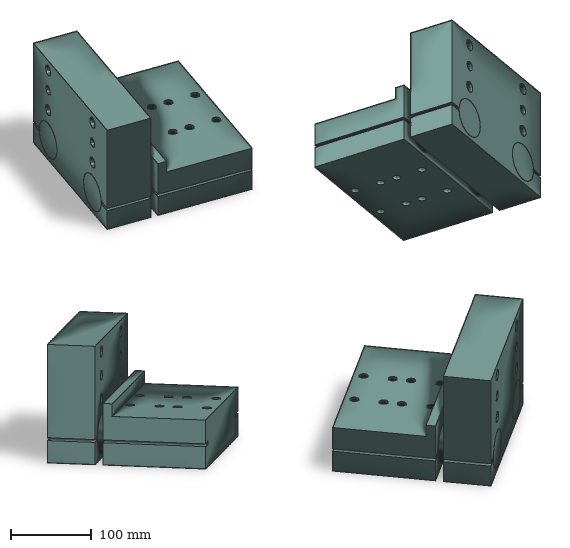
import cadquery as cq

WIDTH = 210.0
TOTAL_DEPTH = 200.0
FRONT_DEPTH = 60.0
FRONT_HEIGHT = 150.0

CARRIAGE_DEPTH = 130.0
CARRIAGE_HEIGHT = 62.0
LIP_DEPTH = 12.0
LIP_TOP = 78.0
CARRIAGE_FRONT = TOTAL_DEPTH - CARRIAGE_DEPTH

COLUMN_DIAMETER = 50.0
COLUMN_SPACING = 126.0
COLUMN_HEIGHT = 30.0
SLIT_HEIGHT = 3.5

FRONT_HOLE_SPACING = COLUMN_SPACING
LARGE_HOLE_DIAMETER = 14.0
SMALL_HOLE_DIAMETER = 12.0
FRONT_HOLES = [
    (15.0, LARGE_HOLE_DIAMETER),
    (45.0, SMALL_HOLE_DIAMETER),
    (75.0, LARGE_HOLE_DIAMETER),
]

CARRIAGE_HOLE_DIAMETER = 11.0
CARRIAGE_HOLE_SPACING = 60.0
CARRIAGE_ROW_SPACING = 37.0
CARRIAGE_GROUP_OFFSETS = (13.0, 73.0)


def block(y_start, depth, height):
    """Full-width block standing on the base plane."""
    return cq.Workplane("XY").box(WIDTH, depth, height, centered=(True, False, False)).translate(
        (0, y_start, 0)
    )


def cylinder_along_y(x, z, diameter, y_start, y_end):
    """Cylinder parallel to Y between two Y positions."""
    return (
        cq.Workplane("XZ", origin=(x, y_start, z))
        .circle(diameter / 2)
        .extrude(-(y_end - y_start))
    )


def columns(y_end):
    """Pair of guide columns starting at the front face."""
    left = cylinder_along_y(-COLUMN_SPACING / 2, COLUMN_HEIGHT, COLUMN_DIAMETER, 0, y_end)
    right = cylinder_along_y(COLUMN_SPACING / 2, COLUMN_HEIGHT, COLUMN_DIAMETER, 0, y_end)
    return left.add(right).combine()


def cut_slits(body, y_start, depth):
    """Cut a slit from each side face inward to the axis of its column."""
    slit_length = (WIDTH - COLUMN_SPACING) / 2
    slit_center_x = (WIDTH - slit_length) / 2
    slits = (
        cq.Workplane("XY")
        .pushPoints([(-slit_center_x, y_start + depth / 2), (slit_center_x, y_start + depth / 2)])
        .box(slit_length, depth, SLIT_HEIGHT)
        .translate((0, 0, COLUMN_HEIGHT))
    )
    return body.cut(slits)


def make_front_block():
    """Clamp block with column bores and two rows of through holes."""
    body = cut_slits(block(0, FRONT_DEPTH, FRONT_HEIGHT), 0, FRONT_DEPTH)
    body = body.cut(columns(FRONT_DEPTH))
    for side in (-1, 1):
        x = side * FRONT_HOLE_SPACING / 2
        for drop, diameter in FRONT_HOLES:
            hole = cylinder_along_y(x, FRONT_HEIGHT - drop, diameter, 0, FRONT_DEPTH)
            body = body.cut(hole)
    return body


def make_carriage():
    """Lipped block with vertical holes, carrying both guide columns."""
    lip = block(CARRIAGE_FRONT, LIP_DEPTH, LIP_TOP)
    body = block(CARRIAGE_FRONT, CARRIAGE_DEPTH, CARRIAGE_HEIGHT).union(lip)
    body = cut_slits(body, CARRIAGE_FRONT, CARRIAGE_DEPTH)
    hole_points = [
        (side * CARRIAGE_HOLE_SPACING / 2, TOTAL_DEPTH - group - row * CARRIAGE_ROW_SPACING)
        for side in (-1, 1)
        for group in CARRIAGE_GROUP_OFFSETS
        for row in (0, 1)
    ]
    holes = (
        cq.Workplane("XY")
        .pushPoints(hole_points)
        .circle(CARRIAGE_HOLE_DIAMETER / 2)
        .extrude(CARRIAGE_HEIGHT)
    )
    return body.union(columns(TOTAL_DEPTH)).cut(holes)


front_block = make_front_block()
carriage = make_carriage()

result = cq.Compound.makeCompound([front_block.solids().val(), carriage.solids().val()])